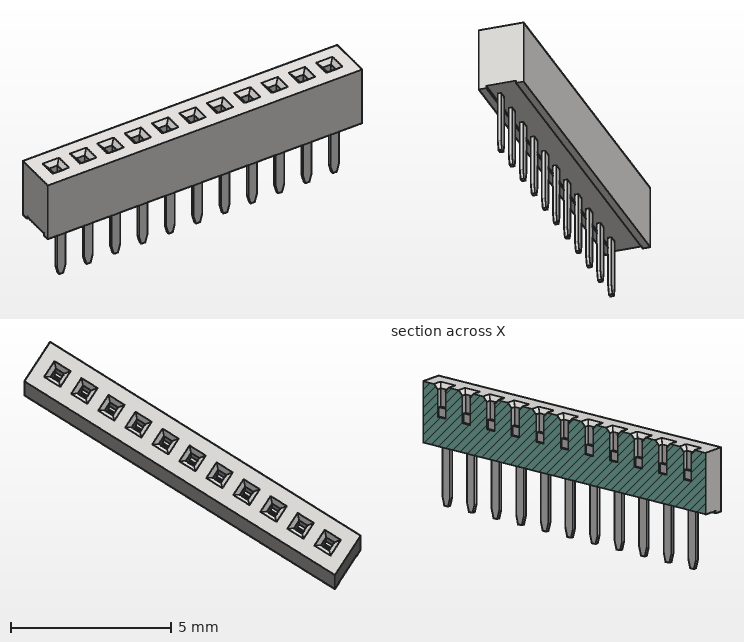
import cadquery as cq

length = 11.5
width = 1.5
total_height = 4.0

housing_height = 2.1
foot_width = 0.25
foot_height = 0.08

contact_count = 11
pitch = 1.0
row_positions = [(i - (contact_count - 1) / 2) * pitch for i in range(contact_count)]

funnel_mouth = 0.6
well_side = 0.3
funnel_depth = (funnel_mouth - well_side) / 2
well_depth = 0.6
slot_width = 0.1
slot_depth = 0.3

pin_offset = 0.28
pin_thickness = 0.12
pin_width = 0.31
tip_width = 0.15
tip_length = 0.3
pin_bottom = housing_height - total_height


def make_housing():
    """Long block with a shallow channel that leaves a foot along each side."""
    block = cq.Workplane("XY").box(width, length, housing_height, centered=(True, True, False))
    channel = cq.Workplane("XY").box(
        width - 2 * foot_width, length, foot_height, centered=(True, True, False)
    )
    return block.cut(channel)


def make_socket(y):
    """Square funnel, the well below it, and the gap between the two contact leaves."""
    well_top = housing_height - funnel_depth
    well_floor = well_top - well_depth
    funnel = (
        cq.Workplane("XY", origin=(0, y, well_top))
        .rect(well_side, well_side)
        .workplane(offset=funnel_depth)
        .rect(funnel_mouth, funnel_mouth)
        .loft(ruled=True)
    )
    well = cq.Workplane("XY", origin=(0, y, well_floor)).rect(well_side, well_side).extrude(well_depth)
    slot = cq.Workplane("XY", origin=(0, y, well_floor)).rect(slot_width, well_side).extrude(-slot_depth)
    return funnel.union(well).union(slot)


def make_pin(y):
    """Flat pin hanging from the channel roof, tapered across Y at its tip."""
    tip_top = pin_bottom + tip_length
    outline = [
        (y - pin_width / 2, foot_height),
        (y - pin_width / 2, tip_top),
        (y - tip_width / 2, pin_bottom),
        (y + tip_width / 2, pin_bottom),
        (y + pin_width / 2, tip_top),
        (y + pin_width / 2, foot_height),
    ]
    start_x = pin_offset - pin_thickness / 2
    return cq.Workplane("YZ", origin=(start_x, 0, 0)).polyline(outline).close().extrude(pin_thickness)


result = make_housing()
for row_y in row_positions:
    result = result.cut(make_socket(row_y)).union(make_pin(row_y))